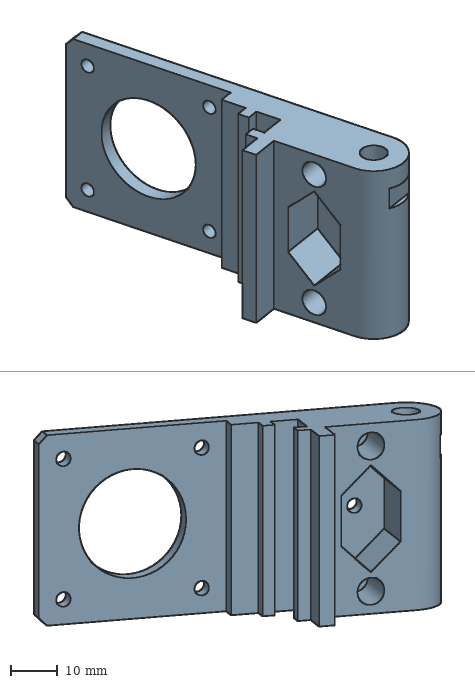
import cadquery as cq

length = 88.5
depth = 21.95
height = 42.0

plate_thickness = 3.5
plate_end = 41.95
corner_chamfer = 1.9
motor_center = height / 2
motor_opening_diameter = 24.0
screw_pitch = 31.0
screw_diameter = 3.2

step_depth = 7.1
rib_left = 48.05
rib_width = 2.7
rib_height = 2.9
jaw_left = 56.9
jaw_width = 3.5
lip_length = 2.9
lip_back = 13.4
lip_width = 2.7

block_thickness = 15.05
end_radius = block_thickness / 2
pivot_x = length - end_radius
rod_diameter = 6.0

pocket_x = 70.7
pocket_floor = plate_thickness
pocket_half_width = 6.6
pocket_half_height = 11.8
pocket_side_half_height = 5.6
rod_spacing = 32.0

recess_depth = 1.1
recess_height = 5.0
recess_top_offset = 4.9


def make_body():
    """Extrude the stepped profile and chamfer the free corners of the plate."""
    rib_right = rib_left + rib_width
    rib_tip = step_depth + rib_height
    jaw_right = jaw_left + jaw_width
    lip_left = jaw_left - lip_length
    lip_front = lip_back + lip_width
    profile = (
        cq.Workplane("XY", origin=(0, 0, -height / 2))
        .moveTo(0, 0)
        .lineTo(0, -plate_thickness)
        .lineTo(plate_end, -plate_thickness)
        .lineTo(plate_end, -step_depth)
        .lineTo(rib_left, -step_depth)
        .lineTo(rib_left, -rib_tip)
        .lineTo(rib_right, -rib_tip)
        .lineTo(rib_right, -step_depth)
        .lineTo(jaw_left, -step_depth)
        .lineTo(jaw_left, -lip_back)
        .lineTo(lip_left, -lip_back)
        .lineTo(lip_left, -lip_front)
        .lineTo(jaw_left, -lip_front)
        .lineTo(jaw_left, -depth)
        .lineTo(jaw_right, -depth)
        .lineTo(jaw_right, -block_thickness)
        .lineTo(pivot_x, -block_thickness)
        .threePointArc((length, -end_radius), (pivot_x, 0))
        .close()
    )
    body = profile.extrude(height)
    return body.faces("<X").edges("|Y").chamfer(corner_chamfer)


def front_sketch(x, y=0):
    """Workplane facing -Y, through the given X and Y at mid height."""
    return cq.Workplane("XZ", origin=(x, y, 0))


def make_motor_holes():
    opening = front_sketch(motor_center).circle(motor_opening_diameter / 2).extrude(plate_thickness)
    screws = (
        front_sketch(motor_center)
        .rect(screw_pitch, screw_pitch, forConstruction=True)
        .vertices()
        .circle(screw_diameter / 2)
        .extrude(plate_thickness)
    )
    return opening.union(screws)


def make_block_pockets():
    """Six-sided pocket with a through screw hole, between two blind rod holes."""
    pocket_depth = block_thickness - pocket_floor
    right_half = [
        (0, pocket_half_height),
        (pocket_half_width, pocket_side_half_height),
        (pocket_half_width, -pocket_side_half_height),
    ]
    left_half = [(-x, -z) for x, z in right_half]
    hexagon = front_sketch(pocket_x, -pocket_floor).polyline(right_half + left_half).close()
    pocket = hexagon.extrude(pocket_depth)
    rods = (
        front_sketch(pocket_x, -pocket_floor)
        .pushPoints([(0, -rod_spacing / 2), (0, rod_spacing / 2)])
        .circle(rod_diameter / 2)
        .extrude(pocket_depth)
    )
    screw = front_sketch(pocket_x).circle(screw_diameter / 2).extrude(block_thickness)
    return pocket.union(rods).union(screw)


def make_pivot_hole():
    base = cq.Workplane("XY", origin=(pivot_x, -end_radius, -height / 2))
    return base.circle(rod_diameter / 2).extrude(height)


def make_end_recess():
    recess_z = height / 2 - recess_top_offset - recess_height / 2
    recess = cq.Workplane("XY").box(2 * recess_depth, block_thickness, recess_height)
    return recess.translate((length, -end_radius, recess_z))


result = (
    make_body()
    .cut(make_motor_holes())
    .cut(make_block_pockets())
    .cut(make_pivot_hole())
    .cut(make_end_recess())
)